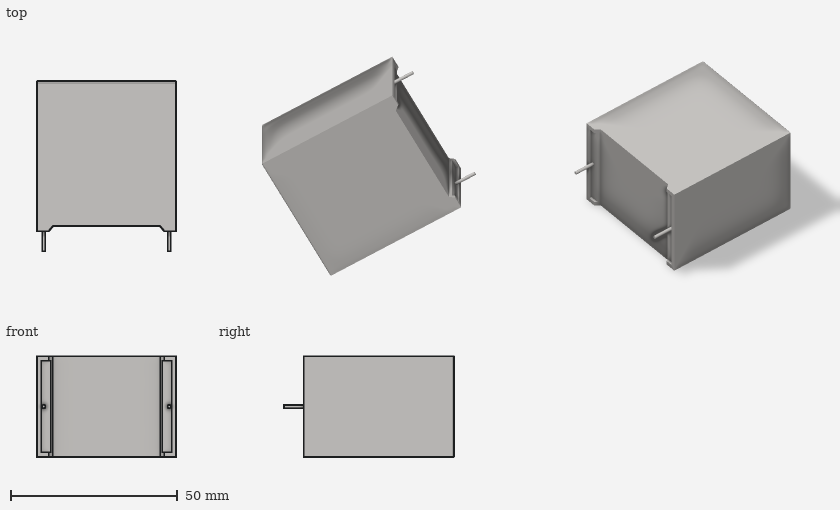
import cadquery as cq

case_width = 41.8
case_height = 30.3
total_length = 51.1
lead_length = 6.0
case_length = total_length - lead_length

foot_height = 1.55
foot_tip_width = 3.65
foot_base_width = 4.8

pocket_depth = 0.75
pocket_side_margin = 1.4
pocket_end_margin = 1.45

lead_diameter = 1.0
lead_spacing = 37.6

back_edge_radius = 0.5

half_width = case_width / 2


def make_case_block():
    """Block with a trapezoidal recess between the feet and a rounded back rim."""
    half_recess_mouth = half_width - foot_tip_width
    half_recess_floor = half_width - foot_base_width
    outline = [
        (-half_width, 0),
        (-half_recess_mouth, 0),
        (-half_recess_floor, foot_height),
        (half_recess_floor, foot_height),
        (half_recess_mouth, 0),
        (half_width, 0),
        (half_width, case_length),
        (-half_width, case_length),
    ]
    block = cq.Workplane("XY").polyline(outline).close().extrude(case_height / 2, both=True)
    return block.faces(">Y").edges().fillet(back_edge_radius)


def make_foot_pocket(side):
    """Cutter that hollows one foot; side is -1 or +1 along X."""
    outer_x = half_width - pocket_side_margin
    inner_x = half_width - foot_base_width
    pocket_width = outer_x - inner_x
    pocket_height = case_height - 2 * pocket_end_margin
    pocket_center = (side * (outer_x + inner_x) / 2, pocket_depth / 2, 0)
    return cq.Workplane("XY").box(pocket_width, pocket_depth, pocket_height).translate(pocket_center)


def make_lead(side):
    """Round lead standing on the pocket floor and pointing along -Y."""
    root = (side * lead_spacing / 2, pocket_depth, 0)
    return (
        cq.Workplane("XZ", origin=root)
        .circle(lead_diameter / 2)
        .extrude(pocket_depth + lead_length)
    )


case = make_case_block()
leads = []
for side in (-1, 1):
    case = case.cut(make_foot_pocket(side))
    leads.append(make_lead(side))

result = cq.Compound.makeCompound([case.solids().val(), *[lead.val() for lead in leads]])